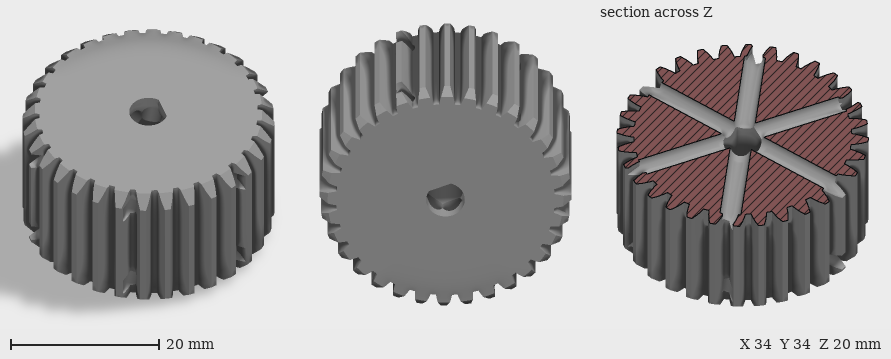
import cadquery as cq
import math

TEETH = 32
MODULE = 1.0
FACE_WIDTH = 20.0
DEDENDUM_FACTOR = 1.25

PITCH_RADIUS = MODULE * TEETH / 2
TIP_RADIUS = PITCH_RADIUS + MODULE
ROOT_RADIUS = PITCH_RADIUS - DEDENDUM_FACTOR * MODULE
TOOTH_PITCH_ANGLE = 2 * math.pi / TEETH

ROOT_THICKNESS = 2.15
PITCH_THICKNESS = math.pi * MODULE / 2
TIP_THICKNESS = 0.8

TOP_BEVEL = 1.65
BOTTOM_BEVEL = 1.1

BORE_DIAMETER = 5.2
BORE_FLAT_OFFSET = 2.05

CROSS_HOLE_DIAMETER = 2.8
CROSS_HOLES_PER_ROW = 3
LOWER_ROW_HEIGHT = 2.8
ROW_SPACING = 14.0
ROW_HEIGHTS = (LOWER_ROW_HEIGHT, LOWER_ROW_HEIGHT + ROW_SPACING)


def polar(radius, angle):
    """Point in the XY plane at a radius and an angle from +X."""
    return (radius * math.cos(angle), radius * math.sin(angle))


def flank_point(radius, thickness, tooth_center, side):
    """Point on a tooth flank; side is -1 on the clockwise flank, +1 on the other."""
    return polar(radius, tooth_center + side * thickness / (2 * radius))


def gear_blank():
    """Toothed prism bounded by arcs on the flanks, tips and roots."""
    outline = cq.Workplane("XY").moveTo(*flank_point(ROOT_RADIUS, ROOT_THICKNESS, 0, -1))
    for tooth in range(TEETH):
        center = tooth * TOOTH_PITCH_ANGLE
        next_center = center + TOOTH_PITCH_ANGLE
        outline = (
            outline.threePointArc(
                flank_point(PITCH_RADIUS, PITCH_THICKNESS, center, -1),
                flank_point(TIP_RADIUS, TIP_THICKNESS, center, -1),
            )
            .threePointArc(
                polar(TIP_RADIUS, center),
                flank_point(TIP_RADIUS, TIP_THICKNESS, center, 1),
            )
            .threePointArc(
                flank_point(PITCH_RADIUS, PITCH_THICKNESS, center, 1),
                flank_point(ROOT_RADIUS, ROOT_THICKNESS, center, 1),
            )
            .threePointArc(
                polar(ROOT_RADIUS, center + TOOTH_PITCH_ANGLE / 2),
                flank_point(ROOT_RADIUS, ROOT_THICKNESS, next_center, -1),
            )
        )
    return outline.close().extrude(FACE_WIDTH)


def bevel_envelope():
    """Solid of revolution that trims both ends of the teeth."""
    margin = MODULE
    outer = TIP_RADIUS + margin
    return (
        cq.Workplane("XZ")
        .lineTo(TIP_RADIUS - BOTTOM_BEVEL, 0)
        .lineTo(outer, BOTTOM_BEVEL + margin)
        .lineTo(outer, FACE_WIDTH - TOP_BEVEL - margin)
        .lineTo(TIP_RADIUS - TOP_BEVEL, FACE_WIDTH)
        .lineTo(0, FACE_WIDTH)
        .close()
        .revolve(360, (0, 0), (0, 1))
    )


def shaft_bore():
    bore = cq.Workplane("XY").circle(BORE_DIAMETER / 2).extrude(FACE_WIDTH)
    kept_side = (
        cq.Workplane("XY")
        .center(0, BORE_FLAT_OFFSET - BORE_DIAMETER / 2)
        .rect(BORE_DIAMETER, BORE_DIAMETER)
        .extrude(FACE_WIDTH)
    )
    return bore.intersect(kept_side)


def cross_hole_core(blank, height):
    """Material removed by a hole along Y, which runs through the middle of two opposite teeth."""
    drill = (
        cq.Workplane("XZ")
        .center(0, height)
        .circle(CROSS_HOLE_DIAMETER / 2)
        .extrude(TIP_RADIUS + MODULE, both=True)
    )
    return drill.intersect(blank)


blank = gear_blank()
result = blank.intersect(bevel_envelope()).cut(shaft_bore())

for row_height in ROW_HEIGHTS:
    core = cross_hole_core(blank, row_height)
    for hole in range(CROSS_HOLES_PER_ROW):
        turn = hole * 180 / CROSS_HOLES_PER_ROW
        result = result.cut(core.rotate((0, 0, 0), (0, 0, 1), turn))